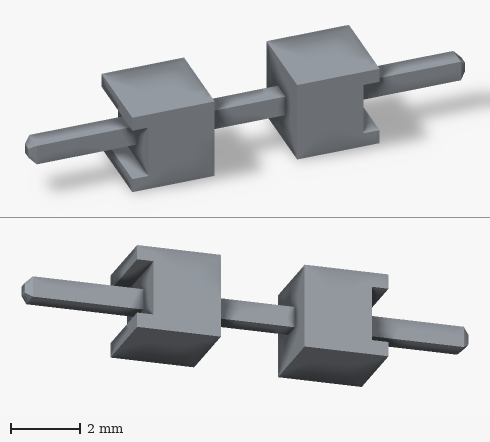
import cadquery as cq

PIN_LENGTH = 13.46
PIN_WIDTH = 0.63
TIP_LENGTH = 0.19
TIP_WIDTH = 0.31

HOUSING_SIZE = 2.55
HOUSING_GAP = 2.55
RECESS_DEPTH = 0.5
LIP_THICKNESS = 0.45
HOUSING_PAIR_CENTER_Y = -0.13


def make_tip(base_y, end_direction):
    """Tapered tip that starts at base_y and points along +Y (1) or -Y (-1)."""
    base_plane = cq.Plane(origin=(0, base_y, 0), xDir=(1, 0, 0), normal=(0, end_direction, 0))
    return (
        cq.Workplane(base_plane)
        .rect(PIN_WIDTH, PIN_WIDTH)
        .workplane(offset=TIP_LENGTH)
        .rect(TIP_WIDTH, TIP_WIDTH)
        .loft(ruled=True)
    )


def make_pin():
    """Square pin centred on the origin, with both tips."""
    shank_length = PIN_LENGTH - 2 * TIP_LENGTH
    pin = cq.Workplane("XY").box(PIN_WIDTH, shank_length, PIN_WIDTH)
    for end_direction in (-1, 1):
        pin = pin.union(make_tip(end_direction * shank_length / 2, end_direction))
    return pin


def make_housing(end_direction):
    """Housing on the +Y (1) or -Y (-1) side of the gap, recessed on its outer end."""
    center_y = HOUSING_PAIR_CENTER_Y + end_direction * (HOUSING_GAP + HOUSING_SIZE) / 2
    recess_y = center_y + end_direction * (HOUSING_SIZE - RECESS_DEPTH) / 2
    recess_height = HOUSING_SIZE - 2 * LIP_THICKNESS

    block = cq.Workplane("XY").box(HOUSING_SIZE, HOUSING_SIZE, HOUSING_SIZE)
    recess = cq.Workplane("XY").box(HOUSING_SIZE, RECESS_DEPTH, recess_height)
    pin_hole = cq.Workplane("XY").box(PIN_WIDTH, HOUSING_SIZE, PIN_WIDTH)

    return (
        block.cut(pin_hole)
        .translate((0, center_y, 0))
        .cut(recess.translate((0, recess_y, 0)))
    )


pin = make_pin()
housings = [make_housing(end_direction) for end_direction in (-1, 1)]

result = cq.Compound.makeCompound([pin.val(), *[housing.val() for housing in housings]])